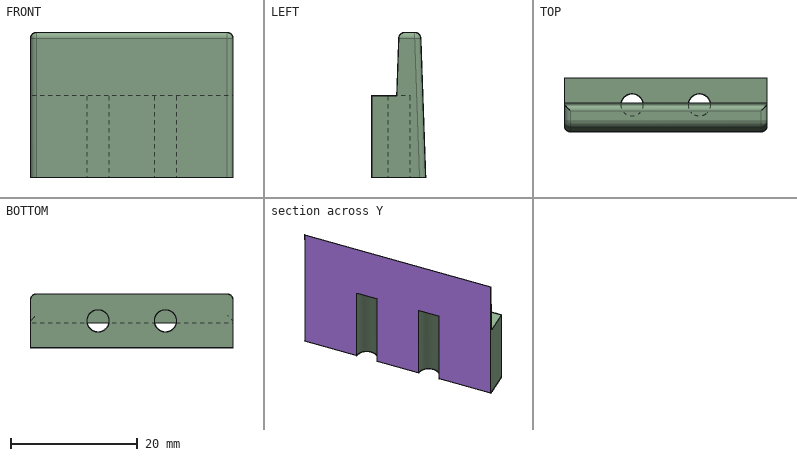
import cadquery as cq
import math

width = 32.0
depth = 8.55
height = 22.9

plate_base_thickness = 5.05
draft_angle = 2.0
edge_radius = 1.0

block_height = 12.93

hole_diameter = 3.5
hole_spacing = 10.62
hole_from_back = 4.3

front_y = -depth / 2
back_y = depth / 2
plate_back_y = front_y + plate_base_thickness
taper = math.tan(math.radians(draft_angle))


def make_plate():
    """Upright plate with rounded top edges and rounded front side edges."""
    top_inset = height * taper
    profile = [
        (front_y, 0),
        (plate_back_y, 0),
        (plate_back_y - top_inset, height),
        (front_y + top_inset, height),
    ]
    plate = cq.Workplane("YZ").polyline(profile).close().extrude(width / 2, both=True)
    front_side_edges = plate.faces("<Y").edges("<X or >X")
    top_edges = plate.faces(">Z").edges()
    return plate.newObject(front_side_edges.vals() + top_edges.vals()).fillet(edge_radius)


def make_block():
    """Rectangular block whose front lies inside the plate."""
    inside_plate_y = (front_y + plate_back_y) / 2
    return cq.Workplane("XY").box(
        width, back_y - inside_plate_y, block_height, centered=(True, False, False)
    ).translate((0, inside_plate_y, 0))


def make_holes():
    hole_y = back_y - hole_from_back
    centers = [(side * hole_spacing / 2, hole_y) for side in (-1, 1)]
    return cq.Workplane("XY").pushPoints(centers).circle(hole_diameter / 2).extrude(block_height)


result = make_plate().union(make_block()).cut(make_holes())